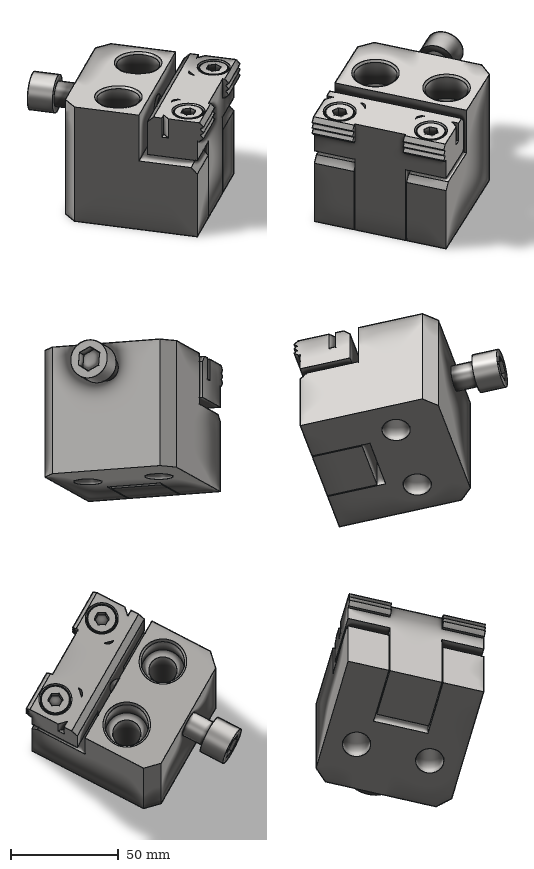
import cadquery as cq
import math


right_angle = 90
bevel_angle = 45

total_length = 91.0
body_width = 65.0
body_height = 60.0
head_length = 12.0
exposed_shank = 11.0
block_left = head_length + exposed_shank
wall_right = 60.0
tooth_height = 2.0
tooth_tip_gap = 1.0
block_right = total_length - tooth_height - tooth_tip_gap

corner_chamfer = 6.0
ledge_drop = 24.0
ledge_z = body_height - ledge_drop
ledge_chamfer = 3.0
slot_width = 26.0

hole_setback = 23.0
hole_x = block_left + hole_setback
hole_spacing = 35.0
hole_diameter = 13.0
counterbore_diameter = 20.0
counterbore_depth = 13.0
counterbore_chamfer = 1.0

screw_drop = 12.0
screw_z = body_height - screw_drop
head_diameter = 18.0
shank_diameter = 12.0
screw_end_x = 61.0
screw_end_chamfer = 1.1
ball_radius = 4.0
clamp_hex_flats = 10.0
clamp_hex_depth = 6.0
clamp_hex_tilt = 5.0

jaw_gap = 4.0
jaw_left = wall_right + jaw_gap
jaw_height = 20.0
jaw_bottom = body_height - jaw_height
jaw_chamfer = 3.0
tongue_width = 24.9

pad_size = 20.0
pad_height = 10.0
pad_left = total_length - pad_size
pad_bottom = body_height - pad_height
pad_corner_chamfer = 3.2
pad_offset_y = (body_width - pad_size) / 2
pad_face_x = total_length - tooth_height
pocket_corner_radius = 3.0
tooth_count = 3
tooth_pitch = (pad_height - 2 * tooth_height) / (tooth_count - 1)

pad_screw_x = pad_left + pad_size / 2
pad_head_diameter = 13.0
pad_bore_diameter = 14.0
pad_bore_chamfer = 0.6
pad_bore_depth = 8.3
pad_head_sink = 0.3
pad_hex_flats = 6.0
pad_hex_depth = 4.0


def box(x_min, x_max, width, z_min, z_max, y_center=0.0):
    """Box between two X and two Z positions, centred on a Y position."""
    size_x = x_max - x_min
    corner = (x_min, y_center - width / 2, z_min)
    return cq.Workplane("XY").box(size_x, width, z_max - z_min, centered=False).translate(corner)


def hex_diameter(across_flats):
    """Corner-to-corner size of a hexagon."""
    return across_flats / math.cos(math.pi / 6)


def hex_socket(across_flats, depth):
    """Hexagonal prism along +Z from the origin, with two corners on the Y axis."""
    prism = cq.Workplane("XY").polygon(6, hex_diameter(across_flats)).extrude(depth)
    return prism.rotate((0, 0, 0), (0, 0, 1), right_angle)


def cut_chamfered_bore(body, top, diameter, depth, chamfer):
    """Blind round bore with a chamfered rim, sunk from a workplane on the top face."""
    bore = top.circle(diameter / 2).extrude(-depth)
    rim = top.circle(diameter / 2 + chamfer).extrude(-chamfer, taper=bevel_angle)
    return body.cut(bore).cut(rim)


def cut_mounting_hole(body, y):
    """Through hole with a chamfered counterbore, sunk from the top of the block."""
    top = cq.Workplane("XY", origin=(hole_x, y, body_height))
    body = body.cut(top.circle(hole_diameter / 2).extrude(-body_height))
    return cut_chamfered_bore(body, top, counterbore_diameter, counterbore_depth, counterbore_chamfer)


def make_clamp_screw():
    """Socket-head screw along X, with a chamfered end that carries a ball tip."""
    ball_center_x = jaw_left - ball_radius
    ball_base_radius = math.sqrt(ball_radius**2 - (screw_end_x - ball_center_x) ** 2)
    arc_offset = ball_radius * math.sqrt(0.5)
    screw = (
        cq.Workplane("XZ")
        .lineTo(0, head_diameter / 2)
        .lineTo(head_length, head_diameter / 2)
        .lineTo(head_length, shank_diameter / 2)
        .lineTo(screw_end_x - screw_end_chamfer, shank_diameter / 2)
        .lineTo(screw_end_x, shank_diameter / 2 - screw_end_chamfer)
        .lineTo(screw_end_x, ball_base_radius)
        .threePointArc((ball_center_x + arc_offset, arc_offset), (jaw_left, 0))
        .close()
        .revolve(360, (0, 0, 0), (1, 0, 0))
    )
    socket = hex_socket(clamp_hex_flats, clamp_hex_depth)
    socket = socket.rotate((0, 0, 0), (0, 1, 0), right_angle)
    socket = socket.rotate((0, 0, 0), (1, 0, 0), right_angle + clamp_hex_tilt)
    return screw.cut(socket).translate((0, 0, screw_z))


def make_block():
    """L-shaped block with a slotted ledge, two mounting holes and the clamp screw."""
    profile = [
        (block_left, 0),
        (block_right, 0),
        (block_right, ledge_z - ledge_chamfer),
        (block_right - ledge_chamfer, ledge_z),
        (wall_right, ledge_z),
        (wall_right, body_height),
        (block_left, body_height),
    ]
    body = cq.Workplane("XZ").polyline(profile).close().extrude(body_width / 2, both=True)
    body = body.edges("|Z and <X").chamfer(corner_chamfer)
    body = body.cut(box(wall_right, block_right, slot_width, 0, ledge_z))
    for side in (-1, 1):
        body = cut_mounting_hole(body, side * hole_spacing / 2)
    return body.union(make_clamp_screw())


def make_pocket(side):
    """Pad pocket: open at the jaw's end and front, rounded at its inner corner."""
    pocket = box(pad_left, total_length, pad_size, pad_bottom, body_height, side * pad_offset_y)
    inner_side = "<Y" if side > 0 else ">Y"
    return pocket.edges("|Z and <X").edges(inner_side).fillet(pocket_corner_radius)


def make_pad(side):
    """Gripper pad with chamfered back corners, a toothed front and a sunken socket screw."""
    profile = [(pad_left, pad_bottom), (pad_face_x, pad_bottom)]
    for tooth in range(tooth_count):
        tip_z = pad_bottom + tooth_height + tooth * tooth_pitch
        profile.append((total_length, tip_z))
        if tooth < tooth_count - 1:
            profile.append((total_length - tooth_pitch / 2, tip_z + tooth_pitch / 2))
    profile += [(pad_face_x, body_height), (pad_left, body_height)]
    pad = cq.Workplane("XZ").polyline(profile).close().extrude(pad_size / 2, both=True)
    pad = pad.edges("|Z and <X").chamfer(pad_corner_chamfer)

    top = cq.Workplane("XY", origin=(pad_screw_x, 0, body_height))
    pad = cut_chamfered_bore(pad, top, pad_bore_diameter, pad_bore_depth, pad_bore_chamfer)
    head_top = body_height - pad_head_sink
    head_height = pad_bore_depth - pad_head_sink
    head = cq.Workplane("XY", origin=(pad_screw_x, 0, head_top)).circle(pad_head_diameter / 2).extrude(-head_height)
    socket = hex_socket(pad_hex_flats, pad_hex_depth).translate((pad_screw_x, 0, head_top - pad_hex_depth))
    pad = pad.union(head.cut(socket))
    return pad.translate((0, side * pad_offset_y, 0))


def make_jaw():
    """Jaw bar with two gripper pads on top and a tongue reaching down the block's slot."""
    bar = box(jaw_left, block_right, body_width, jaw_bottom, body_height)
    bar = bar.edges("|Y and <X and >Z").chamfer(jaw_chamfer)
    jaw = bar.union(box(jaw_left, block_right, tongue_width, 0, jaw_bottom))
    for side in (-1, 1):
        jaw = jaw.cut(make_pocket(side)).union(make_pad(side))
    return jaw


block = make_block()
jaw = make_jaw()

result = cq.Compound.makeCompound([block.solids().val(), jaw.solids().val()])